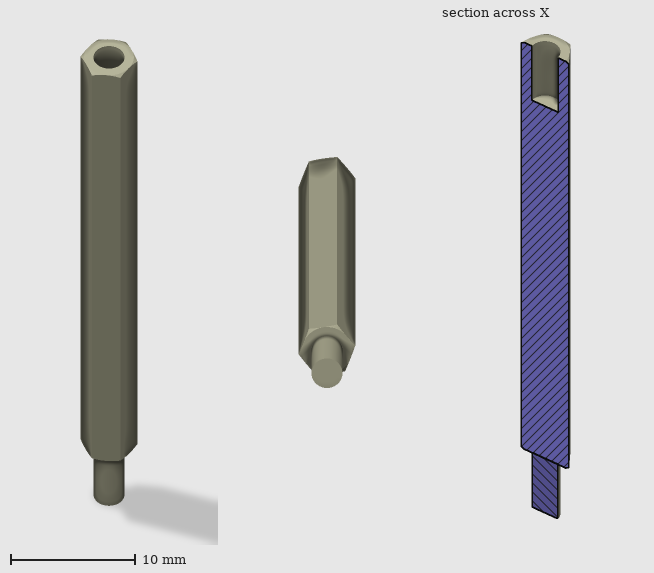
import cadquery as cq
import math

across_flats = 4.0
across_corners = across_flats / math.cos(math.pi / 6)
spacer_length = 45.0
thread_diameter = 2.5
stud_length = 6.0
bore_depth = stud_length

end_face_diameter = across_flats
corner_cone_angle = math.radians(30)
corner_cone_width = (across_corners - end_face_diameter) / 2
corner_cone_height = corner_cone_width * math.tan(corner_cone_angle)


def make_turned_envelope():
    """Round bar through the hexagon's corners, with a conical chamfer at each end."""
    end_radius = end_face_diameter / 2
    corner_radius = across_corners / 2
    profile = [
        (0, 0),
        (end_radius, 0),
        (corner_radius, corner_cone_height),
        (corner_radius, spacer_length - corner_cone_height),
        (end_radius, spacer_length),
        (0, spacer_length),
    ]
    return cq.Workplane("XZ").polyline(profile).close().revolve(360, (0, 0), (0, 1))


def make_spacer():
    """Hexagonal bar with flats facing X, turned corners and a blind bore in the top."""
    hexagon = (
        cq.Workplane("XY")
        .transformed(rotate=(0, 0, 90))
        .polygon(6, across_corners)
        .extrude(spacer_length)
    )
    bore = (
        cq.Workplane("XY")
        .workplane(offset=spacer_length - bore_depth)
        .circle(thread_diameter / 2)
        .extrude(bore_depth)
    )
    return hexagon.intersect(make_turned_envelope()).cut(bore)


def make_stud():
    """Plain cylinder butting against the underside of the spacer."""
    return cq.Workplane("XY").circle(thread_diameter / 2).extrude(-stud_length)


spacer = make_spacer()
stud = make_stud()

result = cq.Compound.makeCompound([spacer.val(), stud.val()])